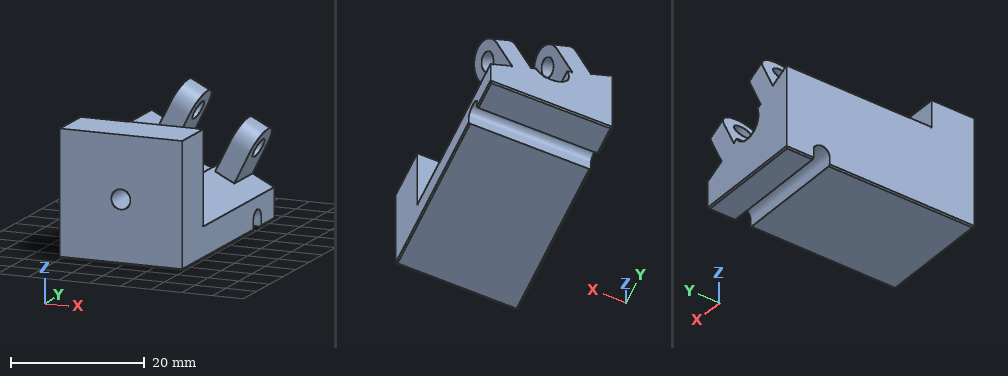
import cadquery as cq
import math

width = 20.0
length = 35
height = 20.0
wall_length = 8.0
bed_high_side = 15.0
bed_low_side = 5.0
bottom_chamfer = 0.25

groove_diameter = 5.75
hole_diameter = 3.1
axis_x = width / 2
axis_z = (bed_high_side + bed_low_side) / 2

lug_width = 7
lug_height = 9.0
lug_thickness = 3.5
lug_start_x = 3.5
lug_spacing = 11.0
lug_count = 2

slot_width = 3.0
slot_height = 3.0
slot_back_offset = 5.0

slope_angle = math.atan2(bed_high_side - bed_low_side, width)


def make_body():
    """Chamfered block with a sloping bed behind a full-height end wall."""
    block = cq.Workplane("XY").box(width, length, height, centered=False)
    block = block.faces("<Z").edges().chamfer(bottom_chamfer)
    above_bed = (
        cq.Workplane("XZ", origin=(0, length, 0))
        .moveTo(0, bed_high_side)
        .lineTo(width, bed_low_side)
        .lineTo(width, height)
        .lineTo(0, height)
        .close()
        .extrude(length - wall_length)
    )
    return block.cut(above_bed)


def cylinder_along_y(diameter, start_y, end_y):
    """Cylinder on the common axis of the groove and the wall hole."""
    return (
        cq.Workplane("XZ", origin=(axis_x, end_y, axis_z))
        .circle(diameter / 2)
        .extrude(end_y - start_y)
    )


def make_slot():
    """Slot cutter running through the full width of the body."""
    radius = slot_width / 2
    back_y = length - slot_back_offset
    front_y = back_y - slot_width
    shoulder_z = slot_height - radius
    return (
        cq.Workplane("YZ")
        .moveTo(front_y, 0)
        .lineTo(front_y, shoulder_z)
        .threePointArc((front_y + radius, slot_height), (back_y, shoulder_z))
        .lineTo(back_y, 0)
        .close()
        .extrude(width)
    )


def make_lug(distance_down_slope):
    """Round-topped lug with a pin hole, flush with the back of the body."""
    radius = lug_width / 2
    front_y = length - lug_width
    pin_z = lug_height - radius
    profile = (
        cq.Workplane("YZ", origin=(distance_down_slope, 0, 0))
        .moveTo(front_y, 0)
        .lineTo(front_y, pin_z)
        .threePointArc((front_y + radius, lug_height), (length, pin_z))
        .lineTo(length, 0)
        .close()
        .extrude(lug_thickness)
    )
    pin_hole = (
        cq.Workplane("YZ", origin=(distance_down_slope, front_y + radius, pin_z))
        .circle(hole_diameter / 2)
        .extrude(lug_thickness)
    )
    lug = profile.cut(pin_hole)
    lug = lug.rotate((0, 0, 0), (0, 1, 0), math.degrees(slope_angle))
    return lug.translate((0, 0, bed_high_side))


result = make_body()
result = result.cut(cylinder_along_y(groove_diameter, wall_length, length))
result = result.cut(cylinder_along_y(hole_diameter, 0, wall_length))
result = result.cut(make_slot())
first_lug_distance = lug_start_x / math.cos(slope_angle)
for index in range(lug_count):
    result = result.union(make_lug(first_lug_distance + index * lug_spacing))